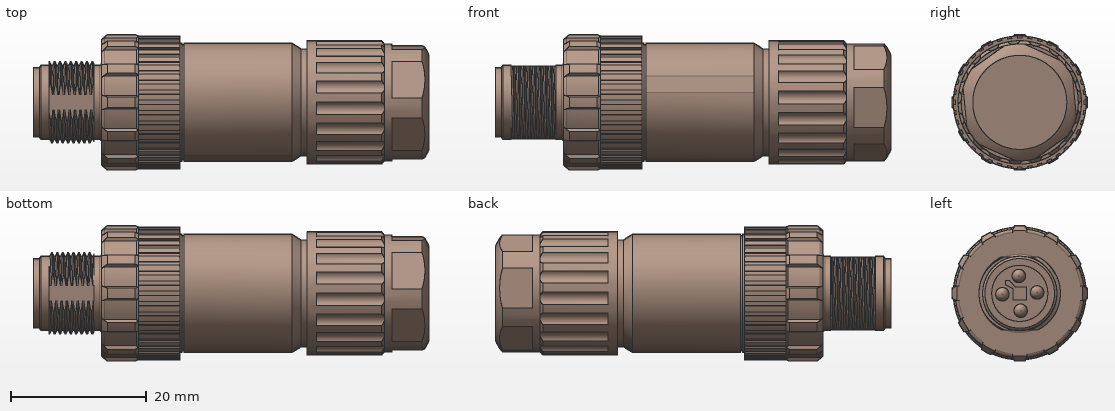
import cadquery as cq
import math

OVERLAP = 0.3
LENGTH = 58.3

TIP_RADIUS = 5.15
TIP_END = 0.9
NECK_RADIUS = 5.5
NECK_CONE_END = 1.1
NECK_FILLET = 0.3
SOCKET_RADIUS = 8.3 / 2
SOCKET_DEPTH = 7.0

THREAD_START = 2.35
THREAD_LENGTH = 6.6
THREAD_PITCH = 6.35 / 8
THREAD_HELIX_TURNS = 11
THREAD_LEAD_IN = 1.0
THREAD_RADIUS = 6.0
THREAD_CREST_WIDTH = 0.1
THREAD_ROOT_RADIUS = 5.3
THREAD_ROOT_WIDTH = 0.75
THREAD_FLAT = 5.35

PIN_COUNT = 4
PIN_RADIUS = 1.0
PIN_NOSE_ROUND = 0.95
PIN_CIRCLE_RADIUS = 2.55
PIN_TURN = -3.0
PIN_TIP = 1.9
KEY_SIZE = 1.9
KEY_TIP = 0.6
KEY_FIN_REACH_Y = 2.1
KEY_FIN_REACH_Z = 1.85
KEY_FIN_NOTCH = 0.3
KEY_FIN_LAND = 0.6

NUT_START = 10.05
NUT_GRIP_END = 15.45
NUT_END = 21.6
KNOB_NOSE_RADIUS = 9.3
NUT_GRIP_RADIUS = 9.5
KNURL_RADIUS = 9.8
KNURL_COUNT = 40
KNURL_WIDTH = 0.65
KNURL_DEPTH = 0.3
KNOB_COUNT = 12
KNOB_RADIUS = 20.0 / 2
KNOB_TOP_WIDTH = 1.3
KNOB_BASE_WIDTH = 2.15
KNOB_BASE_RADIUS = 9.3
KNOB_CHAMFER_LENGTH = 0.9
KNOB_REAR_BEVEL = 0.45
NUT_EDGE_ROUND = 0.45
GRIP_REAR_CONE = 0.3

SLEEVE_RADIUS = 8.75
COLLAR_END = 21.85
COLLAR_GROOVE_RADIUS = 8.5
SLEEVE_START = 22.15
SLEEVE_CONE_START = 38.1
SLEEVE_CONE_END = 39.4
WAIST_RADIUS = 15.8 / 2
SLEEVE_FLAT_ANGLE = 162.0
SLEEVE_FLAT_WIDTH = 2.55

CLAMP_START = 40.3
CLAMP_RADIUS = 9.1
CLAMP_GROOVE_START = 41.7
CLAMP_BEVEL_START = 51.3
CLAMP_BEVEL_END = 51.75
CLAMP_GROOVE_COUNT = 18
CLAMP_GROOVE_RADIUS = 1.15
CLAMP_GROOVE_FLOOR = 8.6
WRENCH_RADIUS = 8.65
WRENCH_FLAT_COUNT = 6
WRENCH_FLAT_START = 52.85
WRENCH_FLAT_DISTANCE = 8.1
WRENCH_TURN = 5.5
END_BEVEL_START = 57.25
END_FACE_RADIUS = 6.95
END_BEVEL_MID = (57.85, 7.9)


def cross_section(x):
    """Workplane across the axis: local x is Y, local y is Z."""
    return cq.Workplane("YZ", origin=(x, 0, 0))


def rod(radius, start, end):
    return cross_section(start).circle(radius).extrude(end - start)


def revolve(profile):
    """Turn a closed (X, Y) profile around the X axis."""
    return profile.close().revolve(360, (0, 0, 0), (1, 0, 0))


def around_axis(shape, count, first_angle=0.0):
    """Copies of a shape spaced evenly around the X axis."""
    solid = shape.val()
    copies = [
        solid.rotate(cq.Vector(0, 0, 0), cq.Vector(1, 0, 0), first_angle + i * 360 / count)
        for i in range(count)
    ]
    return cq.Workplane(obj=cq.Compound.makeCompound(copies))


def turned_body():
    """All the round stretches from the plug tip to the cable end."""
    profile = (
        cq.Workplane("XY")
        .lineTo(0, TIP_RADIUS)
        .lineTo(TIP_END, TIP_RADIUS)
        .lineTo(NECK_CONE_END, NECK_RADIUS)
        .lineTo(NUT_START - NECK_FILLET, NECK_RADIUS)
        .radiusArc((NUT_START, NECK_RADIUS + NECK_FILLET), -NECK_FILLET)
        .lineTo(NUT_START, NUT_GRIP_RADIUS - NUT_EDGE_ROUND)
        .radiusArc((NUT_START + NUT_EDGE_ROUND, NUT_GRIP_RADIUS), NUT_EDGE_ROUND)
        .lineTo(NUT_GRIP_END - GRIP_REAR_CONE, NUT_GRIP_RADIUS)
        .lineTo(NUT_GRIP_END, KNURL_RADIUS)
        .lineTo(NUT_END, KNURL_RADIUS)
        .lineTo(NUT_END, SLEEVE_RADIUS)
        .lineTo(COLLAR_END, SLEEVE_RADIUS)
        .lineTo(COLLAR_END, COLLAR_GROOVE_RADIUS)
        .lineTo(SLEEVE_START, COLLAR_GROOVE_RADIUS)
        .lineTo(SLEEVE_START, SLEEVE_RADIUS)
        .lineTo(SLEEVE_CONE_START, SLEEVE_RADIUS)
        .lineTo(SLEEVE_CONE_END, WAIST_RADIUS)
        .lineTo(CLAMP_START, WAIST_RADIUS)
        .lineTo(CLAMP_START, CLAMP_RADIUS)
        .lineTo(CLAMP_BEVEL_START, CLAMP_RADIUS)
        .lineTo(CLAMP_BEVEL_END, WRENCH_RADIUS)
        .lineTo(END_BEVEL_START, WRENCH_RADIUS)
        .threePointArc(END_BEVEL_MID, (LENGTH, END_FACE_RADIUS))
        .lineTo(LENGTH, 0)
    )
    return revolve(profile)


def thread_ridge():
    """Right-hand helical ridge, trimmed to the length of the thread."""
    helix = cq.Wire.makeHelix(THREAD_PITCH, THREAD_HELIX_TURNS * THREAD_PITCH, THREAD_ROOT_RADIUS)
    ridge = (
        cq.Workplane("XZ")
        .moveTo(THREAD_ROOT_RADIUS, -THREAD_ROOT_WIDTH / 2)
        .lineTo(THREAD_RADIUS, -THREAD_CREST_WIDTH / 2)
        .lineTo(THREAD_RADIUS, THREAD_CREST_WIDTH / 2)
        .lineTo(THREAD_ROOT_RADIUS, THREAD_ROOT_WIDTH / 2)
        .close()
        .sweep(cq.Workplane(obj=helix), isFrenet=True)
        .rotate((0, 0, 0), (0, 1, 0), 90)
        .translate((THREAD_START - THREAD_LEAD_IN, 0, 0))
    )
    return ridge.intersect(thread_zone(2 * THREAD_FLAT))


def thread_zone(height):
    """Block that holds the threaded stretch, centred on the axis."""
    size_y = 4 * THREAD_RADIUS
    block = cq.Workplane("XY").box(THREAD_LENGTH, size_y, height, centered=(False, True, True))
    return block.translate((THREAD_START, 0, 0))


def thread_flats():
    """Material above and below the two flats of the threaded stretch."""
    return thread_zone(4 * THREAD_RADIUS).cut(thread_zone(2 * THREAD_FLAT))


def contacts():
    """Four round-nosed pins and the coding key, standing in the socket."""
    root = SOCKET_DEPTH + OVERLAP
    pin = (
        rod(PIN_RADIUS, PIN_TIP, root)
        .faces("<X")
        .fillet(PIN_NOSE_ROUND)
        .translate((0, PIN_CIRCLE_RADIUS, 0))
    )
    half = KEY_SIZE / 2
    key = (
        cross_section(KEY_TIP)
        .moveTo(-half, -half)
        .lineTo(half, -half)
        .lineTo(half, half - KEY_FIN_NOTCH)
        .lineTo(KEY_FIN_REACH_Y, KEY_FIN_REACH_Z - KEY_FIN_LAND)
        .lineTo(KEY_FIN_REACH_Y, KEY_FIN_REACH_Z)
        .lineTo(KEY_FIN_REACH_Y - KEY_FIN_LAND, KEY_FIN_REACH_Z)
        .lineTo(half - KEY_FIN_NOTCH, half)
        .lineTo(-half, half)
        .close()
        .extrude(root - KEY_TIP)
    )
    return around_axis(pin, PIN_COUNT, PIN_TURN).add(key)


def knobs():
    """Tapered gripping ribs, bevelled at both ends."""
    rib = (
        cross_section(NUT_START)
        .moveTo(KNOB_BASE_RADIUS - OVERLAP, -KNOB_BASE_WIDTH / 2)
        .lineTo(KNOB_BASE_RADIUS, -KNOB_BASE_WIDTH / 2)
        .lineTo(KNOB_RADIUS + OVERLAP, -KNOB_TOP_WIDTH / 2)
        .lineTo(KNOB_RADIUS + OVERLAP, KNOB_TOP_WIDTH / 2)
        .lineTo(KNOB_BASE_RADIUS, KNOB_BASE_WIDTH / 2)
        .lineTo(KNOB_BASE_RADIUS - OVERLAP, KNOB_BASE_WIDTH / 2)
        .close()
        .extrude(NUT_GRIP_END - NUT_START)
    )
    envelope = revolve(
        cq.Workplane("XY")
        .moveTo(NUT_START, 0)
        .lineTo(NUT_START, KNOB_NOSE_RADIUS)
        .lineTo(NUT_START + KNOB_CHAMFER_LENGTH, KNOB_RADIUS)
        .lineTo(NUT_GRIP_END - KNOB_REAR_BEVEL, KNOB_RADIUS)
        .lineTo(NUT_GRIP_END, KNURL_RADIUS)
        .lineTo(NUT_GRIP_END, 0)
    )
    return around_axis(rib.intersect(envelope), KNOB_COUNT)


def knurl_grooves():
    """Square grooves along the rear half of the coupling nut."""
    groove = cq.Workplane("XY").box(
        NUT_END - NUT_GRIP_END + OVERLAP, 2 * KNURL_DEPTH, KNURL_WIDTH, centered=(False, True, True)
    )
    return around_axis(groove.translate((NUT_GRIP_END, KNURL_RADIUS, 0)), KNURL_COUNT)


def sleeve_flat():
    """Narrow flat along one side of the sleeve."""
    half = SLEEVE_FLAT_WIDTH / 2
    distance = math.sqrt(SLEEVE_RADIUS**2 - half**2)
    slab = cq.Workplane("XY").box(
        SLEEVE_CONE_START - SLEEVE_START, OVERLAP, SLEEVE_FLAT_WIDTH, centered=(False, False, True)
    )
    return around_axis(slab.translate((SLEEVE_START, distance, 0)), 1, SLEEVE_FLAT_ANGLE)


def clamp_grooves():
    """Round scoops that run out through the bevel; one lies midway between two wrench flats."""
    scoop = rod(CLAMP_GROOVE_RADIUS, CLAMP_GROOVE_START, CLAMP_BEVEL_END)
    scoop = scoop.translate((0, CLAMP_GROOVE_FLOOR + CLAMP_GROOVE_RADIUS, 0))
    half_pitch = 180 / CLAMP_GROOVE_COUNT
    return around_axis(scoop, CLAMP_GROOVE_COUNT, WRENCH_TURN + half_pitch)


def wrench_flats():
    """Six flats that leave round lands between them."""
    slab = cq.Workplane("XY").box(
        LENGTH - WRENCH_FLAT_START, WRENCH_RADIUS, WRENCH_RADIUS, centered=(False, False, True)
    )
    slab = slab.translate((WRENCH_FLAT_START, WRENCH_FLAT_DISTANCE, 0))
    return around_axis(slab, WRENCH_FLAT_COUNT, WRENCH_TURN)


body = turned_body().cut(thread_flats()).union(thread_ridge()).union(knobs())
body = body.cut(knurl_grooves()).cut(sleeve_flat()).cut(clamp_grooves()).cut(wrench_flats())
body = body.cut(rod(SOCKET_RADIUS, 0, SOCKET_DEPTH))
for contact in contacts().vals():
    body = body.union(cq.Workplane(obj=contact))

result = body